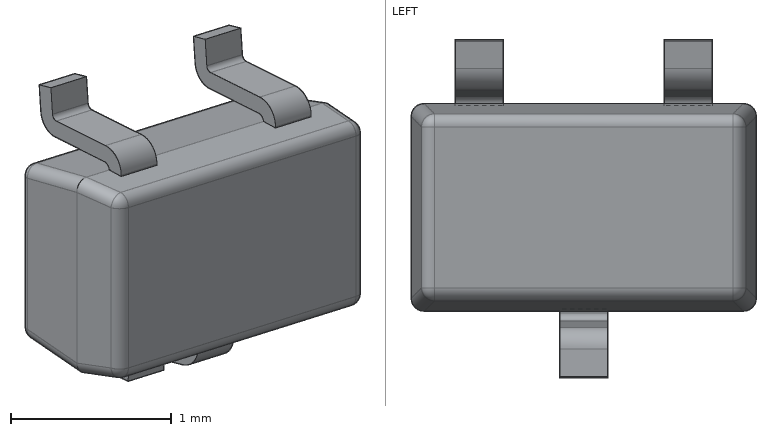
import cadquery as cq
import math


total_height = 2.11
body_length = 2.15
body_height = 1.295
body_rise = 0.009

standoff = 0.052
ridge_x = 0.65
body_far_x = 1.0
draft_angle = 7.0
body_fillet = 0.082

lead_width = 0.3
lead_thickness = 0.11
lead_pitch = 1.3
lead_tilt = 5.0
foot_inner_radius = 0.039
shoulder_inner_radius = 0.05
shoulder_z = 0.65

tip_z = total_height / 2


def tapered_half(depth, direction):
    """Half of the body, narrowing from the ridge plane toward +X (direction 1) or -X (-1)."""
    ridge_plane = cq.Plane(origin=(ridge_x, 0, body_rise), xDir=(0, 1, 0), normal=(direction, 0, 0))
    return cq.Workplane(ridge_plane).rect(body_length, body_height).extrude(depth, taper=draft_angle)


def make_body():
    """Both drafted halves as one solid, rounded everywhere but along the ridge."""
    body = tapered_half(ridge_x - standoff, -1).union(tapered_half(body_far_x - ridge_x, 1))
    margin = body_fillet / 2
    ridge = cq.selectors.BoxSelector(
        (ridge_x - margin, -body_length, -body_height),
        (ridge_x + margin, body_length, body_height),
    )
    return body.edges(cq.selectors.InverseSelector(ridge)).fillet(body_fillet)


def polar_point(center, radius, angle):
    """Point in the XZ plane at an angle in degrees from +X toward +Z."""
    return (
        center[0] + radius * math.cos(math.radians(angle)),
        center[1] + radius * math.sin(math.radians(angle)),
    )


def make_lead(center_y):
    """Lead on the +Z side, with its root running on into the body."""
    slope = math.tan(math.radians(lead_tilt))
    cosine = math.cos(math.radians(lead_tilt))
    tip_rise = lead_thickness * math.sin(math.radians(lead_tilt))
    foot_outer_radius = foot_inner_radius + lead_thickness
    shoulder_outer_radius = shoulder_inner_radius + lead_thickness

    tip_outer = (0, tip_z - tip_rise)
    tip_inner = (lead_thickness * cosine, tip_z)

    shoulder_center = (ridge_x - shoulder_inner_radius, shoulder_z)

    foot_line_offset = foot_outer_radius / cosine + slope * tip_outer[1]
    span_line_offset = (
        shoulder_center[1] + slope * shoulder_center[0]
        + (shoulder_inner_radius + foot_outer_radius) / cosine
    )
    foot_x = (foot_line_offset - slope * span_line_offset) / (1 - slope**2)
    foot_center = (foot_x, span_line_offset - slope * foot_x)

    foot_start, foot_end = 180 + lead_tilt, 270 - lead_tilt
    foot_middle = (foot_start + foot_end) / 2
    shoulder_start = 90 - lead_tilt
    shoulder_middle = shoulder_start / 2
    root_z = shoulder_z - lead_thickness

    return (
        cq.Workplane("XZ", origin=(0, center_y, 0))
        .moveTo(*tip_outer)
        .lineTo(*polar_point(foot_center, foot_outer_radius, foot_start))
        .threePointArc(
            polar_point(foot_center, foot_outer_radius, foot_middle),
            polar_point(foot_center, foot_outer_radius, foot_end),
        )
        .lineTo(*polar_point(shoulder_center, shoulder_inner_radius, shoulder_start))
        .threePointArc(
            polar_point(shoulder_center, shoulder_inner_radius, shoulder_middle),
            polar_point(shoulder_center, shoulder_inner_radius, 0),
        )
        .lineTo(ridge_x, root_z)
        .lineTo(ridge_x + lead_thickness, root_z)
        .lineTo(*polar_point(shoulder_center, shoulder_outer_radius, 0))
        .threePointArc(
            polar_point(shoulder_center, shoulder_outer_radius, shoulder_middle),
            polar_point(shoulder_center, shoulder_outer_radius, shoulder_start),
        )
        .lineTo(*polar_point(foot_center, foot_inner_radius, foot_end))
        .threePointArc(
            polar_point(foot_center, foot_inner_radius, foot_middle),
            polar_point(foot_center, foot_inner_radius, foot_start),
        )
        .lineTo(*tip_inner)
        .close()
        .extrude(lead_width / 2, both=True)
    )


body = make_body()
upper_leads = [make_lead(side * lead_pitch / 2) for side in (-1, 1)]
lower_lead = make_lead(0).mirror("XY")

leads = [lead.cut(body) for lead in (*upper_leads, lower_lead)]

result = cq.Compound.makeCompound([body.val(), *[lead.val() for lead in leads]])